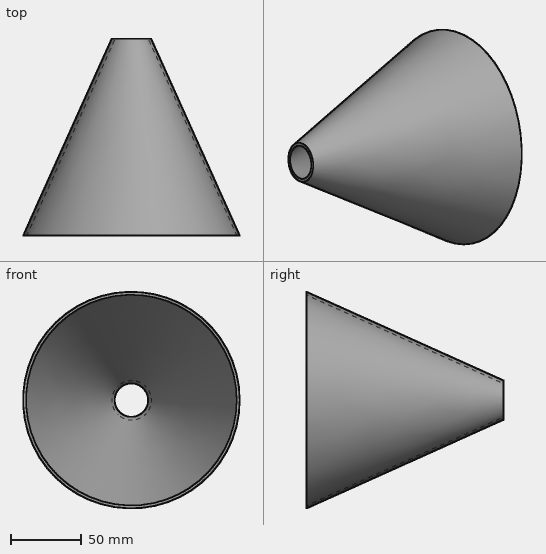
import cadquery as cq
import math

LARGE_OUTER_DIAMETER = 154.0
SMALL_OUTER_DIAMETER = 28.0
LENGTH = 140.0
WALL_THICKNESS = 2.0

large_outer_radius = LARGE_OUTER_DIAMETER / 2
small_outer_radius = SMALL_OUTER_DIAMETER / 2

half_angle = math.atan((large_outer_radius - small_outer_radius) / LENGTH)
radial_wall = WALL_THICKNESS / math.cos(half_angle)


def conical_reducer():
    """Hollow open cone along Y, with its large end at Y = 0 and its small end at Y = LENGTH."""
    wall_section = cq.Workplane("XY").polyline(
        [
            (large_outer_radius - radial_wall, 0),
            (large_outer_radius, 0),
            (small_outer_radius, LENGTH),
            (small_outer_radius - radial_wall, LENGTH),
        ]
    ).close()
    return wall_section.revolve(360, (0, 0, 0), (0, 1, 0))


result = conical_reducer()